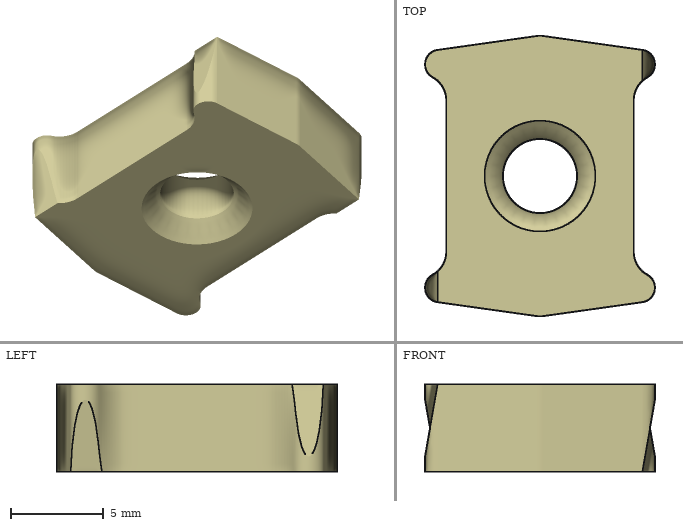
import cadquery as cq
import math

thickness = 4.75
horn_span = 12.45
ridge_span = 15.2
waist_width = 10.16
end_slope = 8.0
ridge_radius = 1.0
horn_radius = 0.8
waist_fillet = 1.4
relief_angle = 10.0
bore_diameter = 4.0
countersink_diameter = 6.0
countersink_angle = 90.0
cutter_margin = 1.0

slope = math.radians(end_slope)
half_thickness = thickness / 2
ridge_y = ridge_span / 2
ridge_center_y = ridge_y - ridge_radius
ridge_end_x = ridge_radius * math.sin(slope)
ridge_end_y = ridge_center_y + ridge_radius * math.cos(slope)

horn_center_x = horn_span / 2 - horn_radius
horn_start_x = horn_center_x + horn_radius * math.sin(slope)
horn_start_y = ridge_end_y - (horn_start_x - ridge_end_x) * math.tan(slope)
horn_center_y = horn_start_y - horn_radius * math.cos(slope)

side_x = waist_width / 2
fillet_center_x = side_x + waist_fillet
center_distance = horn_radius + waist_fillet
center_offset_x = fillet_center_x - horn_center_x
center_offset_y = math.sqrt(center_distance**2 - center_offset_x**2)
fillet_center_y = horn_center_y - center_offset_y
horn_end_x = horn_center_x + horn_radius * center_offset_x / center_distance
horn_end_y = horn_center_y - horn_radius * center_offset_y / center_distance

fillet_start_angle = math.atan2(center_offset_y, -center_offset_x)
fillet_mid_angle = (fillet_start_angle + math.pi) / 2
fillet_mid_x = fillet_center_x + waist_fillet * math.cos(fillet_mid_angle)
fillet_mid_y = fillet_center_y + waist_fillet * math.sin(fillet_mid_angle)


def make_body():
    """Extrude one quarter of the outline and mirror it into the full plate."""
    quarter = (
        cq.Workplane("XY")
        .workplane(offset=-half_thickness)
        .moveTo(0, 0)
        .lineTo(0, ridge_y)
        .threePointArc(
            (ridge_radius * math.sin(slope / 2), ridge_center_y + ridge_radius * math.cos(slope / 2)),
            (ridge_end_x, ridge_end_y),
        )
        .lineTo(horn_start_x, horn_start_y)
        .threePointArc((horn_center_x + horn_radius, horn_center_y), (horn_end_x, horn_end_y))
        .threePointArc((fillet_mid_x, fillet_mid_y), (side_x, fillet_center_y))
        .lineTo(side_x, 0)
        .close()
        .extrude(thickness)
    )
    half = quarter.union(quarter.mirror("YZ"))
    return half.union(half.mirror("XZ")).clean()


def make_horn_relief():
    """Wedge for the +X +Y horn: its slanted face leans outward going down from the top."""
    relief_slope = math.tan(math.radians(relief_angle))
    wedge_top = half_thickness + cutter_margin
    wedge_outer_x = horn_span / 2 + cutter_margin
    wedge_bottom = half_thickness - (wedge_outer_x - horn_start_x) / relief_slope
    return (
        cq.Workplane("XZ")
        .moveTo(horn_start_x - cutter_margin * relief_slope, wedge_top)
        .lineTo(wedge_outer_x, wedge_top)
        .lineTo(wedge_outer_x, wedge_bottom)
        .close()
        .extrude(-ridge_y)
    )


def cut_horn_reliefs(body):
    """Relieve diagonal horns from the top and the other two from the bottom."""
    for flip_angle in (0, 180):
        for turn_angle in (0, 180):
            relief = (
                make_horn_relief()
                .rotate((0, 0, 0), (1, 0, 0), flip_angle)
                .rotate((0, 0, 0), (0, 0, 1), turn_angle)
            )
            body = body.cut(relief)
    return body


def cut_screw_hole(body):
    """Through bore, countersunk alike on both faces."""
    for face in (">Z", "<Z"):
        body = (
            body.faces(face)
            .workplane(origin=(0, 0, 0))
            .cskHole(bore_diameter, countersink_diameter, countersink_angle)
        )
    return body


result = cut_screw_hole(cut_horn_reliefs(make_body()))